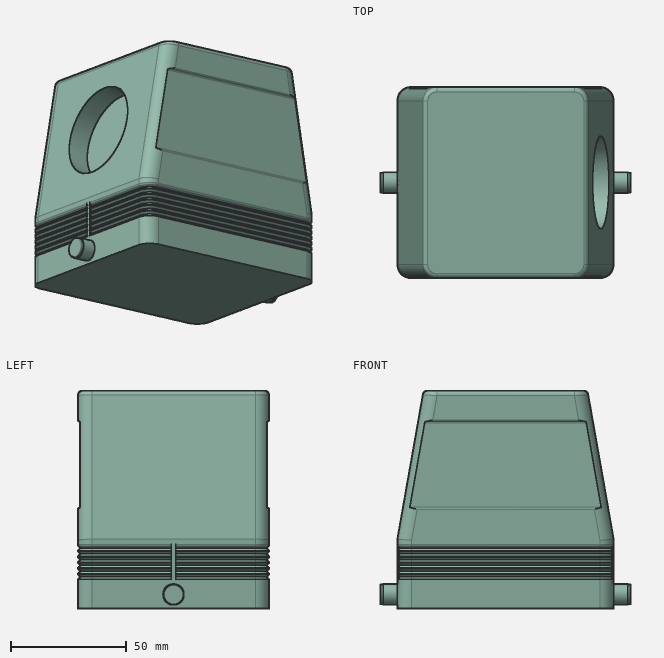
import cadquery as cq
import math

overall_length = 108.0
body_length = 93.3
body_width = 82.5
body_height = 94.0
corner_radius = 6.0
top_edge_radius = 2.0

base_height = 30.0
taper_angle = 10.0

panel_floor_bottom = 44.0
panel_floor_top = 80.1
panel_depth = 0.9
panel_step_radius = 0.6

groove_count = 6
groove_pitch = 2.5
groove_height = 2.2
groove_depth = 1.1
groove_start = 12.5
top_groove_radius = 1.3
strip_width = 2.0

pin_diameter = 9.1
pin_height = 6.0
pin_tip_length = 1.3
pin_tip_step = 0.2
pin_tip_fillet = 0.2

entry_diameter = 40.0
entry_height = 61.6
entry_depth = 10.0

taper_slope = math.tan(math.radians(taper_angle))
half_length = body_length / 2
half_width = body_width / 2


def half_length_at(height):
    """Half of the body length at a height in the leaning part."""
    return half_length - (height - base_height) * taper_slope


def make_body():
    top_half = half_length_at(body_height)
    body = (
        cq.Workplane("XZ")
        .polyline(
            [
                (-half_length, 0),
                (half_length, 0),
                (half_length, base_height),
                (top_half, body_height),
                (-top_half, body_height),
                (-half_length, base_height),
            ]
        )
        .close()
        .extrude(half_width, both=True)
    )
    body = body.faces("<Y or >Y").edges("not |X").fillet(corner_radius)
    return body.faces(">Z").edges().fillet(top_edge_radius)


def make_panel_cutter():
    """Bar that sinks the panel into the -Y side, its ends stepping down in smooth S curves."""
    outer = -half_width
    middle = outer + panel_depth / 2
    floor = outer + panel_depth
    half_step = math.sqrt(panel_step_radius**2 - (panel_step_radius - panel_depth / 2) ** 2)
    return (
        cq.Workplane("YZ")
        .moveTo(floor, panel_floor_bottom)
        .lineTo(floor, panel_floor_top)
        .radiusArc((middle, panel_floor_top + half_step), -panel_step_radius)
        .radiusArc((outer, panel_floor_top + 2 * half_step), panel_step_radius)
        .lineTo(outer, panel_floor_bottom - 2 * half_step)
        .radiusArc((middle, panel_floor_bottom - half_step), panel_step_radius)
        .radiusArc((floor, panel_floor_bottom), -panel_step_radius)
        .close()
        .extrude(half_length, both=True)
    )


def rounded_block(inset, height):
    """Base outline moved inward by the inset, placed at the given height."""
    return (
        cq.Workplane("XY")
        .workplane(offset=height)
        .sketch()
        .rect(body_length - 2 * inset, body_width - 2 * inset)
        .vertices()
        .fillet(corner_radius - inset)
        .finalize()
    )


def make_groove_ring(bottom):
    """Ring whose inner side is a V-shaped ridge, following the rounded base outline."""
    half_height = groove_height / 2
    taper = math.degrees(math.atan(groove_depth / half_height))
    ring = rounded_block(-1.1, bottom).extrude(groove_height)
    lower = rounded_block(0, bottom).extrude(half_height, taper=taper)
    upper = rounded_block(0, bottom + groove_height).extrude(-half_height, taper=taper)
    return ring.cut(lower).cut(upper)


def make_pins():
    """One bar through the base, with slightly thinner tips rounded at their ends."""
    pin_plane = cq.Workplane("YZ").center(0, pin_height)
    pin_radius = pin_diameter / 2
    pin_end = overall_length / 2
    shanks = pin_plane.circle(pin_radius).extrude(pin_end - pin_tip_length, both=True)
    tips = pin_plane.circle(pin_radius - pin_tip_step).extrude(pin_end, both=True)
    return shanks.union(tips.faces("<X or >X").edges().fillet(pin_tip_fillet))


def make_cable_entry():
    """Round bore sunk square to the leaning +X side."""
    face_plane = cq.Plane(
        origin=(half_length_at(entry_height), 0, entry_height),
        xDir=(0, 1, 0),
        normal=(1, 0, taper_slope),
    )
    return cq.Workplane(face_plane).circle(entry_diameter / 2).extrude(-entry_depth)


def add_grooves(body):
    for i in range(groove_count):
        body = body.cut(make_groove_ring(groove_start + i * groove_pitch))
    top = groove_start + (groove_count - 1) * groove_pitch + groove_height
    margin = 0.01
    top_edge = cq.selectors.BoxSelector(
        (-overall_length, -overall_length, top - margin),
        (overall_length, overall_length, top + margin),
    )
    body = body.edges(top_edge).fillet(top_groove_radius)
    strip = (
        cq.Workplane("XY")
        .workplane(offset=groove_start)
        .rect(body_length, strip_width)
        .extrude(base_height - groove_start)
    )
    return body.union(strip)


panel = make_panel_cutter()
body = make_body().cut(panel).cut(panel.mirror("XZ"))
body = add_grooves(body)
result = body.union(make_pins()).cut(make_cable_entry())